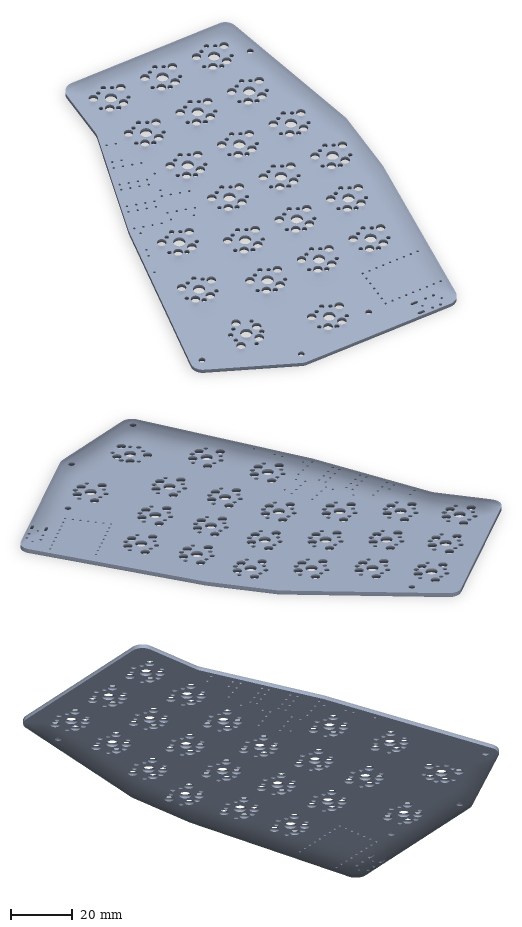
import cadquery as cq
import math


THICKNESS = 1.5
CORNER_RADIUS = 4.0
BOARD_LENGTH = 145.3
BOARD_TOP = 97.0
BOARD_CORNERS = [
    (0, 23.1),
    (23.8, 23.1),
    (66.5, 11.2),
    (130.9, -0.6),
    (BOARD_LENGTH, 32.2),
    (BOARD_LENGTH, 89.8),
    (81.0, BOARD_TOP),
    (56.8, BOARD_TOP),
    (0, 85.0),
]

PEG_OFFSET = 5.1
GRID = PEG_OFFSET / 2
KEY_PITCH = 7.5 * GRID
FIRST_KEY = (11.9, 35.0)
ROWS = 3
STAGGER_STEP = KEY_PITCH / 8
COLUMN_STAGGER = [0, 1, 3, 5, 3, 2]

STEM_DIAMETER = 3.9
SOCKET_DIAMETER = 3.0
PEG_DIAMETER = 1.7
PIN_DIAMETER = 1.5

SOCKET_HOLES = [(-1, 2), (-1, -2), (1.5, 1), (1.5, -1)]
PIN_HOLES = [(1, 2), (1, -2), (-1.5, 1), (-1.5, -1)]
PEG_HOLES = [(-2, 0), (2, 0)]

TURNED_KEYS = [((100.1, 18.5), -10), ((124.6, 22.2), 70)]

LEAD_DIAMETER = 0.8
LEAD_SPACING = 3 * GRID
DIODE_ANGLE = -15
DIODE_PITCH = 3.0
DIODE_STACKS = [
    ((60.5, 36.9), 4),
    ((48.2, 31.0), 1),
    ((42.0, 29.5), 4),
    ((30.5, 26.5), 2),
    ((51.5, 26.9), 4),
    ((61.3, 24.1), 4),
    ((69.1, 14.1), 1),
    ((79.2, 11.5), 1),
]
CROSSWISE_DIODE = (70.6, 33.0)

CONTROLLER_CORNER = (119.7, 68.0)
CONTROLLER_ROWS = 9
CONTROLLER_COLUMNS = 7

JACK_X = 141.6
JACK_PAD_OFFSET = 2.3
JACK_PEG_HEIGHTS = [77.9, 85.0]
JACK_PAD_HEIGHTS = [80.3, 83.2]
JACK_PAD_DIAMETER = 1.0
JACK_SLOT_HEIGHT = 76.1
JACK_SLOT_LENGTH = 2.6

MOUNT_DIAMETER = 2.2
MOUNT_HOLES = [(15.7, 84.4), (135.7, 61.3), (141.3, 33.3), (128.1, 3.9)]


def turned(point, angle):
    """Rotate a point about the origin by an angle in degrees."""
    x, y = point
    c = math.cos(math.radians(angle))
    s = math.sin(math.radians(angle))
    return (x * c - y * s, x * s + y * c)


def moved(point, offset):
    return (point[0] + offset[0], point[1] + offset[1])


def drills(points, diameter):
    """Cylinders through the board at the given points."""
    return cq.Workplane("XY").pushPoints(points).circle(diameter / 2).extrude(THICKNESS).vals()


def key_positions():
    """Centre and angle of every switch."""
    x0, y0 = FIRST_KEY
    bottoms = []
    for column, steps in enumerate(COLUMN_STAGGER):
        bottoms.append((x0 + column * KEY_PITCH, y0 + steps * STAGGER_STEP))
    keys = [(moved(b, (0, row * KEY_PITCH)), 0) for b in bottoms for row in range(ROWS)]
    outer_key = moved(bottoms[5], (1.25 * KEY_PITCH, KEY_PITCH / 2))
    inner_thumb_key = moved(bottoms[4], (-KEY_PITCH / 2, -KEY_PITCH))
    return keys + [(outer_key, 0), (inner_thumb_key, 0)] + TURNED_KEYS


def switch_drills():
    keys = key_positions()
    cutters = drills([centre for centre, _ in keys], STEM_DIAMETER)
    hole_sets = [
        (SOCKET_HOLES, SOCKET_DIAMETER),
        (PIN_HOLES, PIN_DIAMETER),
        (PEG_HOLES, PEG_DIAMETER),
    ]
    for holes, diameter in hole_sets:
        points = []
        for centre, angle in keys:
            for i, j in holes:
                points.append(moved(centre, turned((i * GRID, j * GRID), angle)))
        cutters += drills(points, diameter)
    return cutters


def diode_drills():
    along = turned((LEAD_SPACING, 0), DIODE_ANGLE)
    down = turned((0, -DIODE_PITCH), DIODE_ANGLE)
    across = turned((LEAD_SPACING, 0), DIODE_ANGLE - 90)
    leads = [CROSSWISE_DIODE, moved(CROSSWISE_DIODE, across)]
    for top_lead, count in DIODE_STACKS:
        for n in range(count):
            lead = moved(top_lead, (n * down[0], n * down[1]))
            leads += [lead, moved(lead, along)]
    return drills(leads, LEAD_DIAMETER)


def controller_drills():
    """A pad row along the bottom and one up each side."""
    pads = []
    for i in range(CONTROLLER_COLUMNS):
        for j in range(CONTROLLER_ROWS):
            if j == 0 or i in (0, CONTROLLER_COLUMNS - 1):
                pads.append(moved(CONTROLLER_CORNER, (i * GRID, j * GRID)))
    return drills(pads, LEAD_DIAMETER)


def jack_drills():
    sides = [JACK_X - JACK_PAD_OFFSET, JACK_X + JACK_PAD_OFFSET]
    cutters = drills([(JACK_X, y) for y in JACK_PEG_HEIGHTS], LEAD_DIAMETER)
    cutters += drills([(x, y) for x in sides for y in JACK_PAD_HEIGHTS], JACK_PAD_DIAMETER)
    slots = (
        cq.Workplane("XY")
        .pushPoints([(x, JACK_SLOT_HEIGHT) for x in sides])
        .slot2D(JACK_SLOT_LENGTH, JACK_PAD_DIAMETER, 90)
        .extrude(THICKNESS)
    )
    return cutters + slots.vals()


board = cq.Workplane("XY").polyline(BOARD_CORNERS).close().extrude(THICKNESS)
board = board.edges("|Z").fillet(CORNER_RADIUS)

cutters = switch_drills() + diode_drills() + controller_drills() + jack_drills()
cutters += drills(MOUNT_HOLES, MOUNT_DIAMETER)
result = cq.Workplane("XY").newObject([board.val().cut(*cutters)])